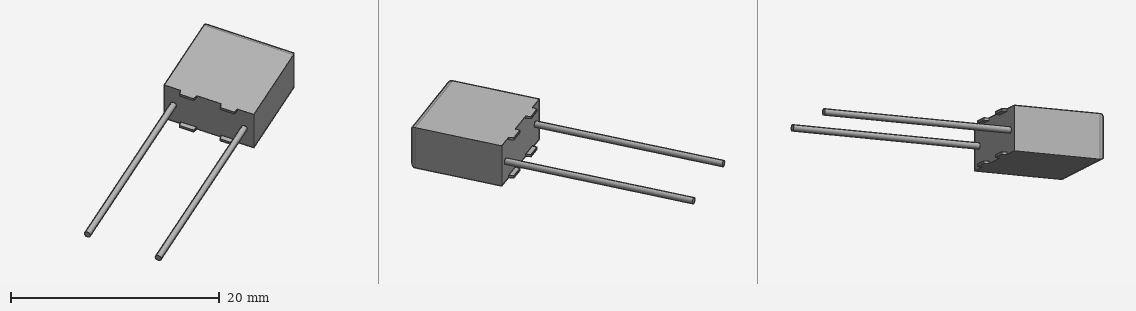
import cadquery as cq


case_width = 9.5
case_height = 4.5
overall_length = 29.0
case_length = 9.5
back_edge_radius = 0.5

foot_length = 0.5
foot_thickness = 0.25
foot_spacing = 4.3
foot_base_width = 1.75
foot_tip_width = 1.5

lead_diameter = 0.63
lead_pitch = 7.5
lead_length = overall_length - case_length

base_y = foot_length


def make_foot(center_x, bottom_z):
    """One trapezoidal foot standing on the base face."""
    return (
        cq.Workplane("XY", origin=(center_x, base_y, bottom_z))
        .moveTo(-foot_base_width / 2, 0)
        .lineTo(foot_base_width / 2, 0)
        .lineTo(foot_tip_width / 2, -foot_length)
        .lineTo(-foot_tip_width / 2, -foot_length)
        .close()
        .extrude(foot_thickness)
    )


def make_case():
    """Box with rounded back edges and four feet flush with its broad faces."""
    body = (
        cq.Workplane("XY")
        .box(case_width, case_length, case_height, centered=(True, False, True))
        .translate((0, base_y, 0))
        .faces(">Y")
        .edges()
        .fillet(back_edge_radius)
    )
    lower_foot_z = -case_height / 2
    upper_foot_z = case_height / 2 - foot_thickness
    for center_x in (-foot_spacing / 2, foot_spacing / 2):
        for bottom_z in (lower_foot_z, upper_foot_z):
            body = body.union(make_foot(center_x, bottom_z))
    return body


def make_lead(center_x):
    """Round wire that starts at the base face and runs in -Y."""
    return (
        cq.Workplane("XZ", origin=(center_x, base_y, 0))
        .circle(lead_diameter / 2)
        .extrude(lead_length)
    )


case = make_case()
leads = [make_lead(center_x) for center_x in (-lead_pitch / 2, lead_pitch / 2)]

result = cq.Compound.makeCompound([case.val(), *[lead.val() for lead in leads]])